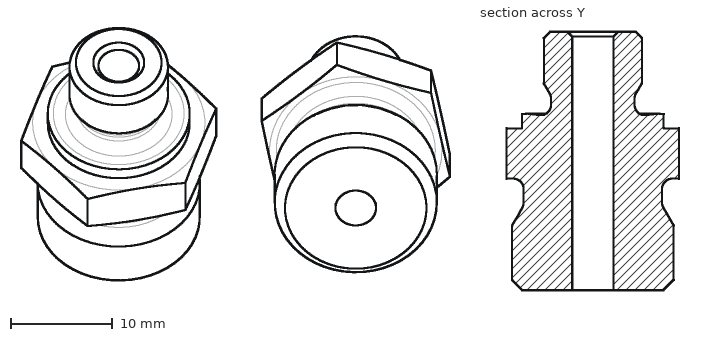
import cadquery as cq
import math

total_height = 25.5
across_flats = 17.0

hex_bottom = 11.0
hex_top = 16.0
hex_chamfer_angle = 15.0
hex_face_diameter = 16.98

lower_thread_radius = 16.0 / 2
lower_groove_radius = 13.7 / 2
lower_thread_top = 6.4
lower_chamfer = 1.02

upper_thread_radius = 9.72 / 2
upper_groove_radius = 8.3 / 2
upper_thread_bottom = 20.4
upper_chamfer = 0.65

runout_angle = 30.0
groove_fillet = 1.0

collar_radius = 14.0 / 2
collar_edge_height = 17.4
crest_radius = 6.45
crest_height = 17.45
dish_angle = 7.0

bore_radius = 4.0 / 2
bore_chamfer = 0.5


def turned_body():
    """Revolved threads, grooves and collar."""
    runout = math.radians(runout_angle)
    dish = math.radians(dish_angle)
    runout_tangent = groove_fillet * math.tan(runout / 2)

    def runout_fillet(groove_radius, thread_radius, thread_end, direction):
        """Fillet points from cone to groove wall; direction is the way along Z from thread to groove."""
        corner = thread_end + direction * (thread_radius - groove_radius) / math.tan(runout)
        wall_z = corner + direction * runout_tangent
        center_r = groove_radius + groove_fillet

        def at(angle):
            return (
                center_r - groove_fillet * math.cos(angle),
                wall_z - direction * groove_fillet * math.sin(angle),
            )

        return at(runout), at(runout / 2), at(0)

    def wall_fillet(groove_radius, center_z, start, end):
        """Start, middle and end points of a groove fillet; angles are measured from the outward radius."""
        def at(angle):
            return (
                groove_radius + groove_fillet * (1 + math.cos(angle)),
                center_z + groove_fillet * math.sin(angle),
            )

        return at(start), at((start + end) / 2), at(end)

    lower_runout = runout_fillet(lower_groove_radius, lower_thread_radius, lower_thread_top, 1)
    upper_runout = runout_fillet(upper_groove_radius, upper_thread_radius, upper_thread_bottom, -1)
    lower_root = wall_fillet(lower_groove_radius, hex_bottom - groove_fillet, math.pi, math.pi / 2)

    dish_center_r = upper_groove_radius + groove_fillet
    dish_center_z = (
        crest_height
        - (crest_radius - dish_center_r) * math.tan(dish)
        + groove_fillet / math.cos(dish)
    )
    upper_root = wall_fillet(upper_groove_radius, dish_center_z, 1.5 * math.pi + dish, math.pi)

    return (
        cq.Workplane("XZ")
        .moveTo(0, 0)
        .lineTo(lower_thread_radius - lower_chamfer, 0)
        .lineTo(lower_thread_radius, lower_chamfer)
        .lineTo(lower_thread_radius, lower_thread_top)
        .lineTo(*lower_runout[0])
        .threePointArc(lower_runout[1], lower_runout[2])
        .lineTo(*lower_root[0])
        .threePointArc(lower_root[1], lower_root[2])
        .lineTo(collar_radius, hex_bottom)
        .lineTo(collar_radius, collar_edge_height)
        .lineTo(crest_radius, crest_height)
        .lineTo(*upper_root[0])
        .threePointArc(upper_root[1], upper_root[2])
        .lineTo(*upper_runout[2])
        .threePointArc(upper_runout[1], upper_runout[0])
        .lineTo(upper_thread_radius, upper_thread_bottom)
        .lineTo(upper_thread_radius, total_height - upper_chamfer)
        .lineTo(upper_thread_radius - upper_chamfer, total_height)
        .lineTo(0, total_height)
        .close()
        .revolve(360, (0, 0, 0), (0, 1, 0))
    )


def hexagon():
    """Hexagon with corners on the Y axis and conical chamfers at both ends."""
    corner_radius = across_flats / math.sqrt(3)
    face_radius = hex_face_diameter / 2
    drop = (corner_radius - face_radius) * math.tan(math.radians(hex_chamfer_angle))
    prism = (
        cq.Workplane("XY", origin=(0, 0, hex_bottom))
        .transformed(rotate=(0, 0, 90))
        .polygon(6, 2 * corner_radius)
        .extrude(hex_top - hex_bottom)
    )
    chamfer_envelope = (
        cq.Workplane("XZ")
        .moveTo(0, hex_bottom)
        .lineTo(face_radius, hex_bottom)
        .lineTo(corner_radius, hex_bottom + drop)
        .lineTo(corner_radius, hex_top - drop)
        .lineTo(face_radius, hex_top)
        .lineTo(0, hex_top)
        .close()
        .revolve(360, (0, 0, 0), (0, 1, 0))
    )
    return prism.intersect(chamfer_envelope)


def bore():
    """Through bore, countersunk at the top end."""
    return (
        cq.Workplane("XZ")
        .moveTo(0, 0)
        .lineTo(bore_radius, 0)
        .lineTo(bore_radius, total_height - bore_chamfer)
        .lineTo(bore_radius + bore_chamfer, total_height)
        .lineTo(0, total_height)
        .close()
        .revolve(360, (0, 0, 0), (0, 1, 0))
    )


result = turned_body().union(hexagon()).cut(bore())